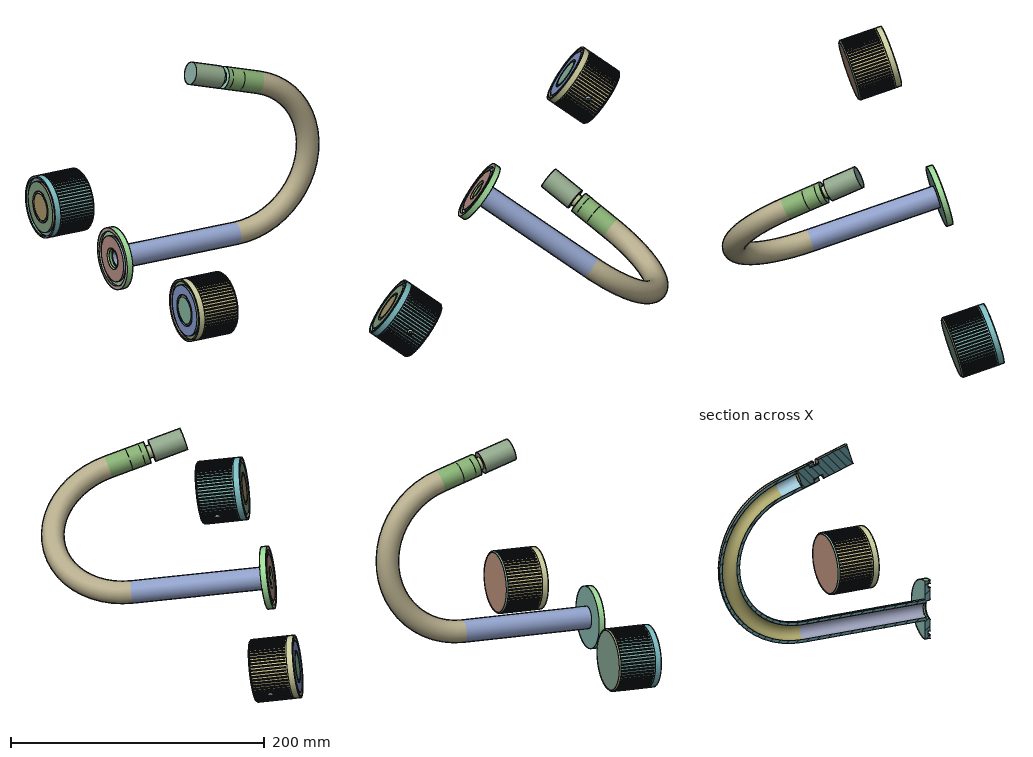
import cadquery as cq
import math

overall_width = 290
base_diameter = 50.0
base_radius = base_diameter / 2
handle_offset = overall_width / 2 - base_radius
base_thickness = 5.0

escutcheon_hole_radius = 12.8
escutcheon_groove_inner_radius = 20.5
escutcheon_groove_outer_radius = 23.5
seal_groove_depth = 1.7

handle_length = 35.5
knob_length = handle_length - base_thickness
knob_chamfer = 1.2
stem_radius = 12.2
stem_chamfer = 1.2

flute_count = 60
flute_width = 1.0
flute_depth = 0.5
flute_base_margin = 1.2
flute_end_margin = 1.7

screw_radius = 2.3
screw_length = 11.5
screw_chamfer = 1.5
screw_protrusion = 1.2
screw_position = 21.8

flange_groove_inner_radius = 18.5
flange_groove_outer_radius = 22.0
inlet_radius = 7.5
inlet_chamfer = 1.2
inlet_depth = 3.5
pipe_radius = 9.0
bore_radius = 6.0
straight_length = 110.8
bend_radius = 64.0
bend_angle = 162

socket_start = 17.7
socket_end = 28.5
spout_end = 33.0
nozzle_start = 36.8
nozzle_end = 63.8
socket_radius = 8.0
neck_radius = 5.2


def wall_disc(radius, start, length):
    """Cylinder on the Y axis, reaching from y = start to y = start + length."""
    return cq.Workplane("XZ", origin=(0, start, 0)).circle(radius).extrude(-length)


def seal_groove(inner_radius, outer_radius):
    """Ring-shaped cutter for a groove in the wall face."""
    return wall_disc(outer_radius, 0, seal_groove_depth).cut(wall_disc(inner_radius, 0, seal_groove_depth))


def make_escutcheon():
    plate = wall_disc(base_radius, 0, base_thickness)
    plate = plate.cut(seal_groove(escutcheon_groove_inner_radius, escutcheon_groove_outer_radius))
    return plate.cut(wall_disc(escutcheon_hole_radius, 0, base_thickness))


def make_grub_screw():
    screw_tip = -(base_radius + screw_protrusion)
    screw = cq.Workplane("XY", origin=(0, screw_position, screw_tip)).circle(screw_radius).extrude(screw_length)
    return screw.faces("<Z").chamfer(screw_chamfer)


def make_flutes():
    start = base_thickness + flute_base_margin
    length = handle_length - flute_end_margin - start
    return (
        cq.Workplane("XZ", origin=(0, start, 0))
        .polarArray(base_radius, 0, 360, flute_count)
        .rect(2 * flute_depth, flute_width)
        .extrude(-length)
    )


def make_screw_hole():
    top = screw_length - base_radius - screw_protrusion
    return cq.Workplane("XY", origin=(0, screw_position, top)).circle(screw_radius).extrude(-screw_length)


def make_knob():
    grip = wall_disc(base_radius, base_thickness, knob_length).faces(">Y").chamfer(knob_chamfer)
    grip = grip.cut(make_flutes())
    stem = wall_disc(stem_radius, 0, base_thickness).faces("<Y").chamfer(stem_chamfer)
    return grip.union(stem).cut(make_screw_hole())


bend_turn = math.radians(bend_angle)
bend_end_y = straight_length + bend_radius * math.sin(bend_turn)
bend_end_z = bend_radius * (1 - math.cos(bend_turn))
outlet_direction = cq.Vector(0, math.cos(bend_turn), math.sin(bend_turn))
outlet_origin = cq.Vector(0, bend_end_y, bend_end_z)


def outlet_cylinder(radius, start, end):
    """Cylinder on the outlet axis between two distances from the end of the bend."""
    centre = outlet_origin + outlet_direction * start
    return cq.Workplane(cq.Plane(centre, (1, 0, 0), outlet_direction)).circle(radius).extrude(end - start)


def bent_rod(radius, outlet_length):
    """Round rod that follows the spout: straight from the wall, bend, straight outlet."""
    bend = (
        cq.Workplane("XZ", origin=(0, straight_length, 0))
        .circle(radius)
        .revolve(bend_angle, (-3, bend_radius), (3, bend_radius))
    )
    straight = wall_disc(radius, 0, straight_length)
    return straight.union(bend).union(outlet_cylinder(radius, 0, outlet_length))


def make_inlet():
    mouth = cq.Solid.makeCone(
        inlet_radius + inlet_chamfer, inlet_radius, inlet_chamfer, cq.Vector(0, 0, 0), cq.Vector(0, 1, 0)
    )
    return wall_disc(inlet_radius, 0, inlet_depth).union(cq.Workplane(mouth))


def make_spout():
    flange = wall_disc(base_radius, 0, base_thickness)
    flange = flange.cut(seal_groove(flange_groove_inner_radius, flange_groove_outer_radius))
    spout = flange.union(bent_rod(pipe_radius, spout_end))
    spout = spout.cut(bent_rod(bore_radius, socket_start))
    spout = spout.cut(make_inlet())
    spout = spout.cut(outlet_cylinder(socket_radius, socket_start, socket_end))
    return spout.cut(outlet_cylinder(neck_radius, socket_end, spout_end))


def make_nozzle():
    head = outlet_cylinder(socket_radius, socket_start, socket_end)
    neck = outlet_cylinder(neck_radius, socket_end, nozzle_start)
    cap = outlet_cylinder(pipe_radius, nozzle_start, nozzle_end)
    return head.union(neck).union(cap)


spout = make_spout()
nozzle = make_nozzle()
bodies = [spout.val(), nozzle.val()]
for side in (-1, 1):
    handle_position = (side * handle_offset, 0, 0)
    for handle_part in (make_escutcheon(), make_knob(), make_grub_screw()):
        bodies.append(handle_part.translate(handle_position).val())

result = cq.Compound.makeCompound(bodies)